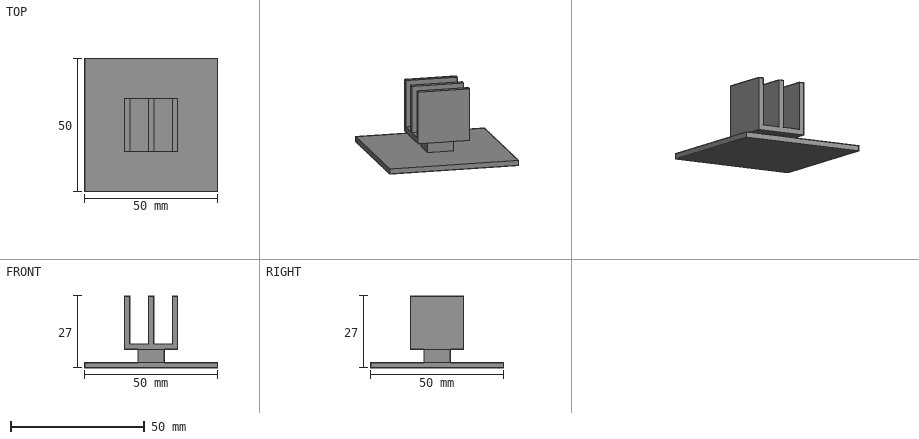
import cadquery as cq

plate_side = 50.0
wall = 2.0
post_side = 10.0
post_height = 5.0
sink_side = 20.0
sink_height = 20.0
fin_count = 3

post_bottom = wall
sink_bottom = post_bottom + post_height
fin_pitch = (sink_side - wall) / (fin_count - 1)


def block(size_x, size_y, height, bottom, center_x=0.0):
    """Upright box centred on Y = 0, standing on the given level."""
    box = cq.Workplane("XY").box(size_x, size_y, height, centered=(True, True, False))
    return box.translate((center_x, 0, bottom))


plate = block(plate_side, plate_side, wall, 0)
post = block(post_side, post_side, post_height, post_bottom)

sink = block(sink_side, sink_side, wall, sink_bottom)
for index in range(fin_count):
    fin_x = (index - (fin_count - 1) / 2) * fin_pitch
    sink = sink.union(block(wall, sink_side, sink_height, sink_bottom, fin_x))

result = plate.union(post).union(sink)